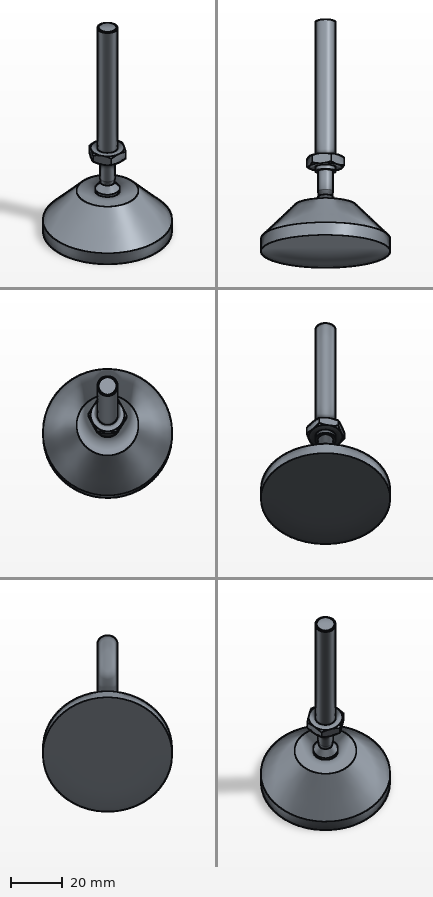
import cadquery as cq
import math

foot_diameter = 50.0
foot_top_diameter = 23.9
foot_rim_height = 5.1
foot_height = 18.2

collar_diameter = 9.65
collar_top_diameter = 5.3
collar_rim_top = foot_height + 1.1
collar_top = collar_rim_top + 2.8

overall_height = 91.9
shank_diameter = 6.0
rod_diameter = 7.9
neck_top = collar_top + 2.0
rod_bottom = 32.0
rod_end_inset = 0.55
rod_end_bevel_height = 0.3

nut_across_flats = 13.0
nut_face_diameter = nut_across_flats
nut_bore_diameter = 8.0
nut_height = 3.95
nut_bottom = 33.6
nut_chamfer_angle = 30.0


def turned(profile):
    """Revolve a closed outline of (radius, z) points about the Z axis."""
    return cq.Workplane("XZ").polyline(profile).close().revolve(360, (0, 0), (0, 1))


def make_foot():
    return turned([
        (0, 0),
        (foot_diameter / 2, 0),
        (foot_diameter / 2, foot_rim_height),
        (foot_top_diameter / 2, foot_height),
        (0, foot_height),
    ])


def make_collar():
    return turned([
        (0, foot_height),
        (collar_diameter / 2, foot_height),
        (collar_diameter / 2, collar_rim_top),
        (collar_top_diameter / 2, collar_top),
        (0, collar_top),
    ])


def make_stud():
    rod_radius = rod_diameter / 2
    return turned([
        (0, collar_top),
        (collar_top_diameter / 2, collar_top),
        (shank_diameter / 2, neck_top),
        (shank_diameter / 2, rod_bottom),
        (rod_radius, rod_bottom),
        (rod_radius, overall_height - rod_end_bevel_height),
        (rod_radius - rod_end_inset, overall_height),
        (0, overall_height),
    ])


def make_nut():
    corner_radius = nut_across_flats / 2 / math.cos(math.pi / 6)
    face_radius = nut_face_diameter / 2
    corner_drop = (corner_radius - face_radius) * math.tan(math.radians(nut_chamfer_angle))
    nut_top = nut_bottom + nut_height
    hexagon = (
        cq.Workplane("XY", origin=(0, 0, nut_bottom))
        .polygon(6, 2 * corner_radius)
        .extrude(nut_height)
        .rotate((0, 0, 0), (0, 0, 1), 30)
    )
    envelope = turned([
        (0, nut_bottom),
        (face_radius, nut_bottom),
        (corner_radius, nut_bottom + corner_drop),
        (corner_radius, nut_top - corner_drop),
        (face_radius, nut_top),
        (0, nut_top),
    ])
    bore = cq.Workplane("XY", origin=(0, 0, nut_bottom)).circle(nut_bore_diameter / 2).extrude(nut_height)
    return hexagon.intersect(envelope).cut(bore)


foot = make_foot()
collar = make_collar()
stud = make_stud()
nut = make_nut()

result = cq.Compound.makeCompound([foot.val(), collar.val(), stud.val(), nut.val()])